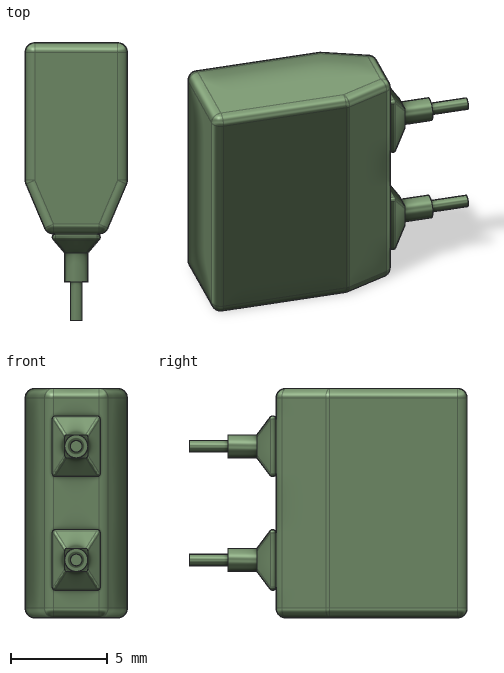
import cadquery as cq
import math

HOUSING_WIDTH = 5.3
HOUSING_HEIGHT = 11.9
FRONT_WIDTH = 3.02
TAPER_LENGTH = 2.68
EDGE_RADIUS = 0.5

TOTAL_LENGTH = 14.4
LEAD_PITCH = 5.89
BOOT_WIDTH = 2.49
BOOT_HEIGHT = 3.15
BOOT_LENGTH = 1.0
BOOT_RADIUS = 0.17
SLEEVE_DIAMETER = 1.2
SLEEVE_LENGTH = 1.5
WIRE_DIAMETER = 0.6
WIRE_LENGTH = 2.0
BOOT_TIP = SLEEVE_DIAMETER

LEAD_LENGTH = BOOT_LENGTH + SLEEVE_LENGTH + WIRE_LENGTH
HOUSING_LENGTH = TOTAL_LENGTH - LEAD_LENGTH


def make_housing():
    """Box with a tapered front and every edge rounded."""
    half_width = HOUSING_WIDTH / 2
    half_front = FRONT_WIDTH / 2
    outline = [
        (-half_front, 0),
        (half_front, 0),
        (half_width, TAPER_LENGTH),
        (half_width, HOUSING_LENGTH),
        (-half_width, HOUSING_LENGTH),
        (-half_width, TAPER_LENGTH),
    ]
    block = (
        cq.Workplane("XY")
        .workplane(offset=-HOUSING_HEIGHT / 2)
        .polyline(outline)
        .close()
        .extrude(HOUSING_HEIGHT)
    )
    return block.edges().fillet(EDGE_RADIUS)


def lead_plane(height, distance):
    """Workplane facing -Y, at the given distance in front of the housing."""
    return cq.Workplane("XZ", origin=(0, -distance, height))


def boot_core_tip(base_side):
    """Side of the core at the boot tip, so that the rounded skin meets the tip square there."""
    rise = BOOT_LENGTH - BOOT_RADIUS
    inset = (base_side - BOOT_TIP) / 2
    slope = math.atan2(inset, rise) + math.asin(BOOT_RADIUS / math.hypot(inset, rise))
    return base_side - 2 * rise * math.tan(slope)


def make_boot(height):
    """Pyramid with every edge rounded: a sharp core with a skin around it, cut flat at the tip."""
    core_width = BOOT_WIDTH - 2 * BOOT_RADIUS
    core_height = BOOT_HEIGHT - 2 * BOOT_RADIUS
    core = (
        lead_plane(height, BOOT_RADIUS)
        .rect(core_width, core_height)
        .workplane(offset=BOOT_LENGTH - BOOT_RADIUS)
        .rect(boot_core_tip(core_width), boot_core_tip(core_height))
        .loft(ruled=True)
    )
    skin = core.shell(BOOT_RADIUS, kind="arc")
    envelope = lead_plane(height, 0).rect(BOOT_WIDTH, BOOT_HEIGHT).extrude(BOOT_LENGTH)
    return core.union(skin).intersect(envelope)


def make_sleeve(height):
    return lead_plane(height, BOOT_LENGTH).circle(SLEEVE_DIAMETER / 2).extrude(SLEEVE_LENGTH)


def make_wire(height):
    start = BOOT_LENGTH + SLEEVE_LENGTH
    return lead_plane(height, start).circle(WIRE_DIAMETER / 2).extrude(WIRE_LENGTH)


bodies = [make_housing().val()]
for lead_height in (-LEAD_PITCH / 2, LEAD_PITCH / 2):
    bodies.append(make_boot(lead_height).val())
    bodies.append(make_sleeve(lead_height).val())
    bodies.append(make_wire(lead_height).val())

result = cq.Compound.makeCompound(bodies)